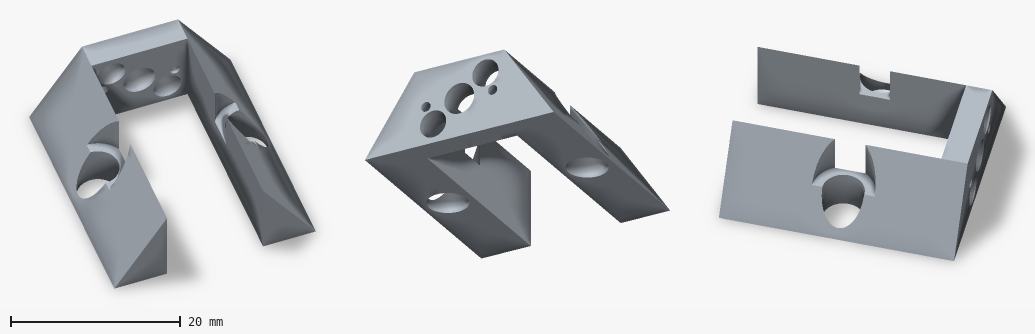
import cadquery as cq

length = 28.57
base_width = 25.4
top_width = 12.09
height = 10.0
mid_height = height / 2

end_wall = 3.2
channel_width = top_width

arm_hole_diameter = 5.09
counterbore_diameter = 7.63
arm_center_y = (base_width + top_width) / 4

center_hole_diameter = 4.0
large_hole_diameter = 3.5
large_hole_offset_y = 3.5
large_hole_offset_z = 2.5
small_hole_diameter = 1.25
small_hole_offset_y = 4.49


def trapezoid_body():
    """Trapezoidal prism, centred on Y, standing on Z = 0."""
    return (
        cq.Workplane("YZ")
        .moveTo(-base_width / 2, 0)
        .lineTo(base_width / 2, 0)
        .lineTo(top_width / 2, height)
        .lineTo(-top_width / 2, height)
        .close()
        .extrude(length)
    )


def channel():
    """Full-height channel, open at the +X end."""
    return cq.Workplane("XY").box(
        length - end_wall, channel_width, height, centered=(False, True, False)
    ).translate((end_wall, 0, 0))


def arm_hole(y):
    """Vertical through hole with a counterbore down to mid height."""
    center = (length / 2, y)
    bore = cq.Workplane("XY").center(*center).circle(arm_hole_diameter / 2).extrude(height)
    counterbore = (
        cq.Workplane("XY", origin=(0, 0, mid_height))
        .center(*center)
        .circle(counterbore_diameter / 2)
        .extrude(height - mid_height)
    )
    return bore.union(counterbore)


def end_wall_holes(diameter, offsets):
    """Holes along X, placed by (Y, Z) offsets from the middle of the end wall."""
    return (
        cq.Workplane("YZ", origin=(0, 0, mid_height))
        .pushPoints(offsets)
        .circle(diameter / 2)
        .extrude(end_wall)
    )


result = trapezoid_body().cut(channel())

for side in (-1, 1):
    result = result.cut(arm_hole(side * arm_center_y))

result = result.cut(end_wall_holes(center_hole_diameter, [(0, 0)]))

for side in (-1, 1):
    large_offset = (-side * large_hole_offset_y, side * large_hole_offset_z)
    small_offset = (side * small_hole_offset_y, 0)
    result = result.cut(end_wall_holes(large_hole_diameter, [large_offset]))
    result = result.cut(end_wall_holes(small_hole_diameter, [small_offset]))